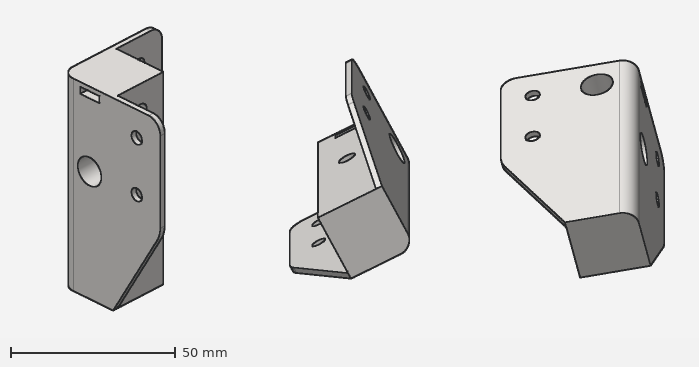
import cadquery as cq
import math

height = 75.0
flange_width = 42.0
wall = 2.0
block_width = 22.0
corner_radius = 5.0
bend_radius = 10.0
taper_angle = 60.0

mount_diameter = 4.5
mount_offset = 32.0
mount_heights = (45.0, 65.0)

bolt_diameter = 5.5
counterbore_diameter = 10.0
counterbore_depth = 15.0
bolt_offset = 12.0
front_bolt_height = 45.0
side_bolt_height = 65.0

slot_start = 8.0
slot_width = 8.0
slot_height = 2.5
slot_top_gap = 1.7

taper_rise = (flange_width - block_width) * math.tan(math.radians(taper_angle))


def cutter(diameter, depth, offset, level):
    """Cylinder running from the front face into the part along +Y."""
    return (
        cq.Workplane("XZ")
        .center(offset, level)
        .circle(diameter / 2)
        .extrude(-depth)
    )


def front_flange():
    """Flange on the XZ plane with a tapered lower end and mounting holes."""
    flange = (
        cq.Workplane("XZ")
        .polyline([
            (0, 0),
            (block_width, 0),
            (flange_width, taper_rise),
            (flange_width, height),
            (0, height),
        ])
        .close()
        .extrude(-wall)
    )
    flange = flange.edges(cq.selectors.NearestToPointSelector(
        (flange_width, wall / 2, height))).fillet(corner_radius)
    flange = flange.edges(cq.selectors.NearestToPointSelector(
        (flange_width, wall / 2, taper_rise))).fillet(bend_radius)
    for level in mount_heights:
        flange = flange.cut(cutter(mount_diameter, wall, mount_offset, level))
    return flange


def swap_xy(shape):
    """Mirror across the vertical plane X = Y."""
    return shape.mirror("YZ").rotate((0, 0, 0), (0, 0, 1), -90)


def bolt_cutter(level):
    """Counterbored bolt hole entering through the front face."""
    bore = cutter(bolt_diameter, block_width, bolt_offset, level)
    return bore.union(cutter(counterbore_diameter, counterbore_depth, bolt_offset, level))


block = cq.Workplane("XY").box(block_width, block_width, height, centered=False)
flange = front_flange()
bracket = block.union(flange).union(swap_xy(flange))
bracket = bracket.edges(cq.selectors.NearestToPointSelector((0, 0, height / 2))).fillet(corner_radius)

slot = cq.Workplane("XY").box(slot_width, block_width, slot_height, centered=False).translate(
    (slot_start, 0, height - slot_top_gap - slot_height))

result = (
    bracket
    .cut(bolt_cutter(front_bolt_height))
    .cut(swap_xy(bolt_cutter(side_bolt_height)))
    .cut(slot)
)